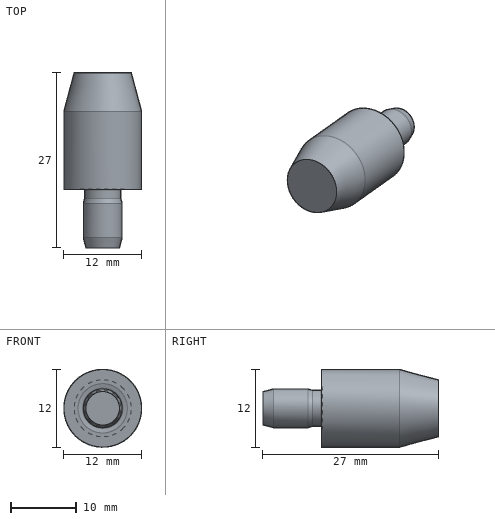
import cadquery as cq
import math

total_length = 27.0
shank_length = total_length / 3
head_diameter = 12.0
head_taper_length = 6.0
shank_diameter = 6.0
tip_length = 1.6
tip_diameter = 5.15
taper_angle = math.radians(15)

neck_diameter = 5.6
undercut_length = 2.1
recess_diameter = 7.6
recess_floor_diameter = 6.18
recess_angle = math.radians(10)
root_fillet_radius = 0.2

head_radius = head_diameter / 2
head_end_radius = head_radius - head_taper_length * math.tan(taper_angle)
shank_radius = shank_diameter / 2
tip_radius = tip_diameter / 2
neck_radius = neck_diameter / 2
recess_radius = recess_diameter / 2
recess_floor_radius = recess_floor_diameter / 2

tip_y = -shank_length
head_end_y = total_length - shank_length
head_taper_y = head_end_y - head_taper_length
relief_y = -undercut_length
neck_start_y = relief_y + (shank_radius - neck_radius) / math.tan(taper_angle)

recess_depth = (recess_radius - recess_floor_radius) * math.tan(recess_angle)
fillet_center_radius = neck_radius + root_fillet_radius
fillet_center_y = recess_depth - root_fillet_radius
fillet_mid_offset = root_fillet_radius * math.sqrt(0.5)
fillet_middle = (fillet_center_radius - fillet_mid_offset, fillet_center_y + fillet_mid_offset)

profile = (
    cq.Workplane("XY")
    .moveTo(0, tip_y)
    .lineTo(tip_radius, tip_y)
    .lineTo(shank_radius, tip_y + tip_length)
    .lineTo(shank_radius, relief_y)
    .lineTo(neck_radius, neck_start_y)
    .lineTo(neck_radius, fillet_center_y)
    .threePointArc(fillet_middle, (fillet_center_radius, recess_depth))
    .lineTo(recess_floor_radius, recess_depth)
    .lineTo(recess_radius, 0)
    .lineTo(head_radius, 0)
    .lineTo(head_radius, head_taper_y)
    .lineTo(head_end_radius, head_end_y)
    .lineTo(0, head_end_y)
    .close()
)

result = profile.revolve(360, (0, 0, 0), (0, 1, 0))